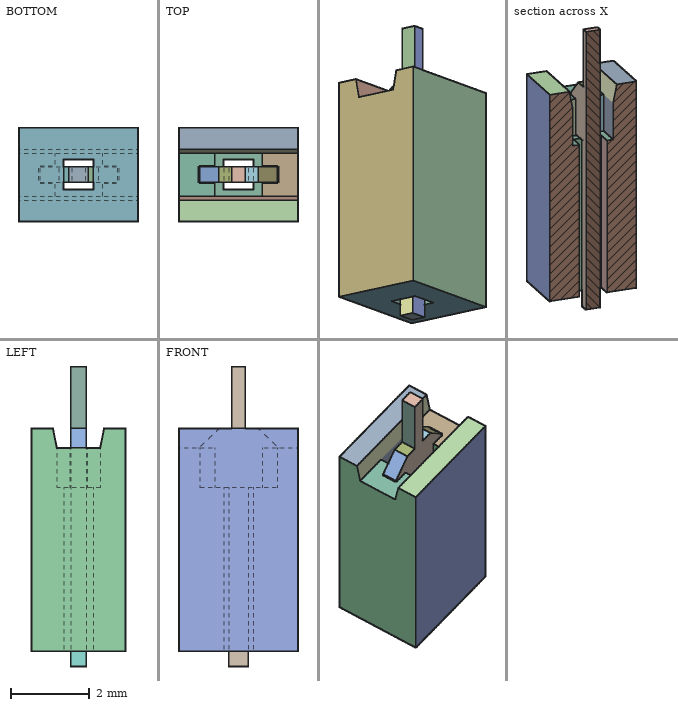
import cadquery as cq

housing_length = 3.04
housing_width = 2.40
housing_height = 5.69

channel_depth = 0.50
channel_floor_width = 1.10
channel_top_width = 1.30
channel_floor_z = housing_height - channel_depth

seat_depth = 1.00
pocket_length = 1.22
slot_length = 1.98
slot_clearance = 0.02
through_hole_size = 0.76
seat_floor_z = channel_floor_z - seat_depth

contact_thickness = 0.40
contact_height = 7.65
post_width = 0.35
shoulder_top_width = 1.00
shoulder_base_width = 2.05
tail_width = 0.50
tail_projection = 0.385

tail_end_z = -tail_projection
post_top_z = tail_end_z + contact_height
shoulder_top_z = housing_height


def upright_block(length, width, top_z, bottom_z):
    """Upright block centred on the Z axis."""
    return (
        cq.Workplane("XY")
        .workplane(offset=bottom_z)
        .rect(length, width)
        .extrude(top_z - bottom_z)
    )


def make_channel():
    """Trapezoidal bar that cuts the flared channel along X."""
    half_floor = channel_floor_width / 2
    half_top = channel_top_width / 2
    return (
        cq.Workplane("YZ")
        .moveTo(-half_floor, channel_floor_z)
        .lineTo(half_floor, channel_floor_z)
        .lineTo(half_top, housing_height)
        .lineTo(-half_top, housing_height)
        .close()
        .extrude(housing_length / 2, both=True)
    )


def make_housing():
    """Block with the channel, the contact seat and the hole for the tail."""
    slot_width = contact_thickness + 2 * slot_clearance
    block = upright_block(housing_length, housing_width, housing_height, 0)
    pocket = upright_block(pocket_length, channel_floor_width, channel_floor_z, seat_floor_z)
    slot = upright_block(slot_length, slot_width, channel_floor_z, seat_floor_z)
    through_hole = upright_block(through_hole_size, through_hole_size, seat_floor_z, 0)
    return block.cut(make_channel()).cut(pocket).cut(slot).cut(through_hole)


def make_contact():
    """Flat contact: crossbar on the seat floor, shoulder tips on the channel floor."""
    right_side = [
        (tail_width / 2, tail_end_z),
        (tail_width / 2, seat_floor_z),
        (slot_length / 2, seat_floor_z),
        (slot_length / 2, channel_floor_z),
        (shoulder_base_width / 2, channel_floor_z),
        (shoulder_top_width / 2, shoulder_top_z),
        (post_width / 2, shoulder_top_z),
        (post_width / 2, post_top_z),
    ]
    left_side = [(-x, z) for x, z in reversed(right_side)]
    return (
        cq.Workplane("XZ")
        .polyline(right_side + left_side)
        .close()
        .extrude(contact_thickness / 2, both=True)
    )


housing = make_housing()
contact = make_contact()

result = cq.Compound.makeCompound([housing.val(), contact.val()])